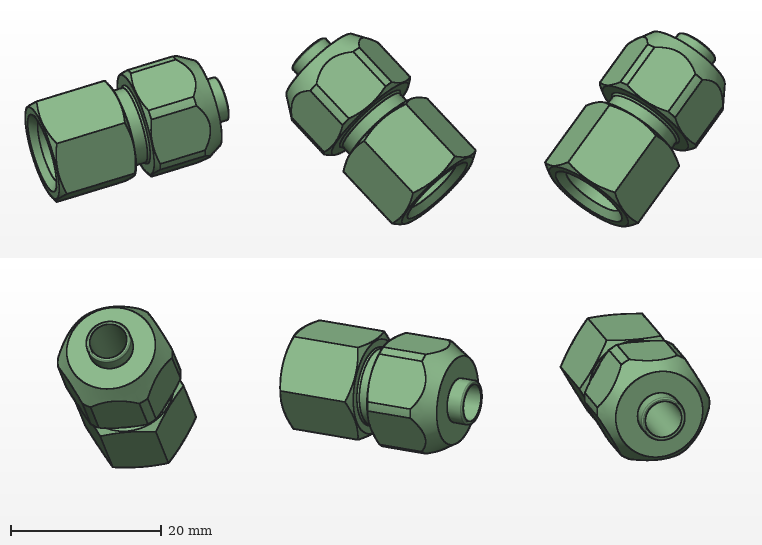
import cadquery as cq
import math

TOTAL_LENGTH = 25.5
FRONT_Y = -TOTAL_LENGTH / 2
REAR_Y = TOTAL_LENGTH / 2
CHAMFER_ANGLE = 30.0

BODY_FLATS = 13.0
BODY_LENGTH = 11.0
BODY_RIM_DIAMETER = 12.75

NUT_FLATS = 14.0
NUT_CORNER_DIAMETER = 15.48
NUT_LENGTH = 10.0
NUT_INNER_DIAMETER = 13.82
NUT_INNER_DEPTH = 0.55
NUT_OUTER_DIAMETER = 11.98

NECK_DIAMETER = 10.4
FOOT_DIAMETER = 10.65
FOOT_LENGTH = 0.3
FLARE_DIAMETER = 10.91
FLARE_LENGTH = 0.3

TUBE_DIAMETER = 6.0
TUBE_LENGTH = 2.2
TUBE_FILLET = 0.2

HOLE_DIAMETER = 5.0
SOCKET_DIAMETER = 8.7
SOCKET_DEPTH = 8.42
SOCKET_TIP_ANGLE = 136.0
MOUTH_DIAMETER = 10.74
MOUTH_DEPTH = 1.02

BODY_END_Y = FRONT_Y + BODY_LENGTH
NUT_END_Y = REAR_Y - TUBE_LENGTH
NUT_START_Y = NUT_END_Y - NUT_LENGTH


def revolve_profile(points):
    """Revolve a closed profile of (radius, y) points about the Y axis."""
    return cq.Workplane("XY").polyline(points).close().revolve(360, (0, 0, 0), (0, 1, 0))


def hex_prism(flats, start, end):
    """Hexagonal prism along Y with corners on the X axis."""
    across_corners = flats / math.cos(math.radians(30))
    return (
        cq.Workplane("XZ", origin=(0, end, 0))
        .polygon(6, across_corners)
        .extrude(end - start)
    )


def turned_envelope(start, end, start_radius, start_depth, end_radius, end_depth, corner_radius):
    """Cylinder with a cone at each end, used to turn down a hexagon."""
    return revolve_profile([
        (0, start),
        (start_radius, start),
        (corner_radius, start + start_depth),
        (corner_radius, end - end_depth),
        (end_radius, end),
        (0, end),
    ])


def make_body():
    """Hexagonal body chamfered equally at both ends."""
    corner_radius = BODY_FLATS / 2 / math.cos(math.radians(30))
    rim_radius = BODY_RIM_DIAMETER / 2
    depth = (corner_radius - rim_radius) * math.tan(math.radians(CHAMFER_ANGLE))
    envelope = turned_envelope(
        FRONT_Y, BODY_END_Y, rim_radius, depth, rim_radius, depth, corner_radius
    )
    return hex_prism(BODY_FLATS, FRONT_Y, BODY_END_Y).intersect(envelope)


def make_nut():
    """Hexagonal nut with rounded corners, a shallow inner chamfer and a steep outer cone."""
    corner_radius = NUT_CORNER_DIAMETER / 2
    inner_radius = NUT_INNER_DIAMETER / 2
    outer_radius = NUT_OUTER_DIAMETER / 2
    slope = math.tan(math.radians(CHAMFER_ANGLE))
    outer_depth = (corner_radius - outer_radius) / slope
    envelope = turned_envelope(
        NUT_START_Y, NUT_END_Y, inner_radius, NUT_INNER_DEPTH, outer_radius, outer_depth, corner_radius
    )
    return hex_prism(NUT_FLATS, NUT_START_Y, NUT_END_Y).intersect(envelope)


def make_neck():
    """Neck that widens by a short cone at the body and at the nut."""
    radius = NECK_DIAMETER / 2
    return revolve_profile([
        (0, BODY_END_Y),
        (FOOT_DIAMETER / 2, BODY_END_Y),
        (radius, BODY_END_Y + FOOT_LENGTH),
        (radius, NUT_START_Y - FLARE_LENGTH),
        (FLARE_DIAMETER / 2, NUT_START_Y),
        (0, NUT_START_Y),
    ])


def make_tube():
    """Tube end with a rounded outer rim."""
    return (
        cq.Workplane("XZ", origin=(0, REAR_Y, 0))
        .circle(TUBE_DIAMETER / 2)
        .extrude(TUBE_LENGTH)
        .faces(">Y")
        .edges()
        .fillet(TUBE_FILLET)
    )


def make_bore():
    """Through hole opening by a cone into a socket with a countersunk mouth."""
    hole_radius = HOLE_DIAMETER / 2
    socket_radius = SOCKET_DIAMETER / 2
    mouth_radius = MOUTH_DIAMETER / 2
    socket_end = FRONT_Y + SOCKET_DEPTH
    cone_depth = (socket_radius - hole_radius) / math.tan(math.radians(SOCKET_TIP_ANGLE / 2))
    return revolve_profile([
        (0, FRONT_Y),
        (mouth_radius, FRONT_Y),
        (socket_radius, FRONT_Y + MOUTH_DEPTH),
        (socket_radius, socket_end),
        (hole_radius, socket_end + cone_depth),
        (hole_radius, REAR_Y),
        (0, REAR_Y),
    ])


result = make_body().union(make_neck()).union(make_nut()).union(make_tube()).cut(make_bore())